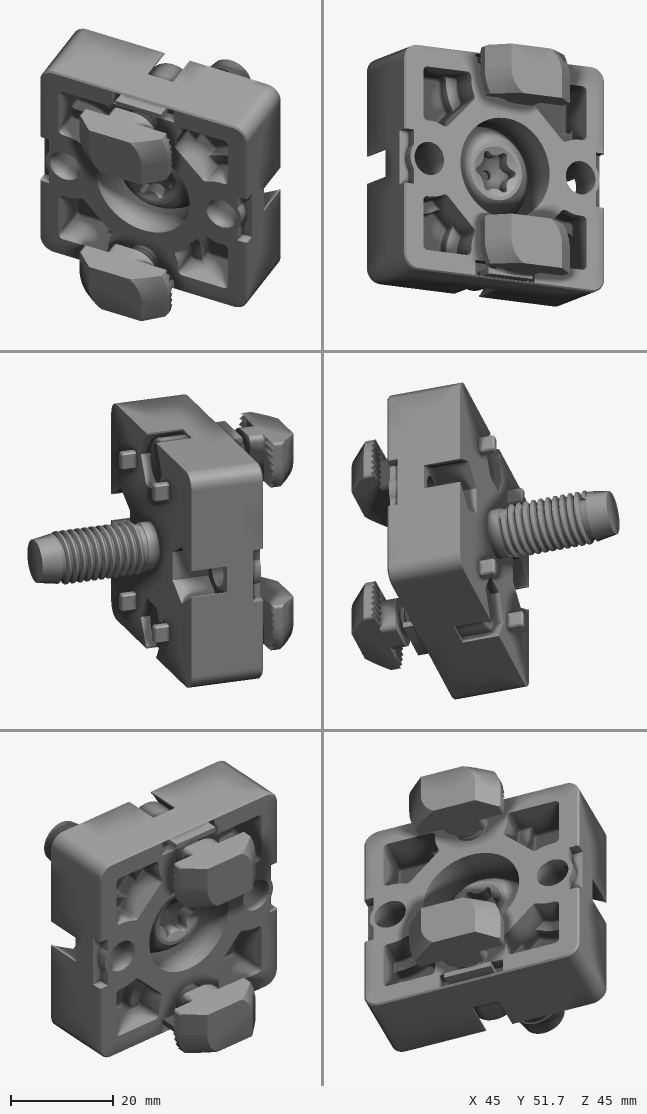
import cadquery as cq
import math


SIDE = 45.0
HALF_SIDE = SIDE / 2
DEPTH = 15.0
CORNER_RADIUS = 3.0
FRONT_CHAMFER = 0.3
HOLE_OFFSET = 17.0
HOLE_RADIUS = 3.3

HEX_ACROSS_FLATS = 10.25
HEX_CORNER_RADIUS = HEX_ACROSS_FLATS / math.sqrt(3)
SLOT_WIDTH = 5.55
HEAD_SEAT = 7.55

NOTCH_WIDTH = 10.85
NOTCH_INSET = 2.0
NOTCH_DEPTH = 2.15
COLLAR_RADIUS = 4.25

TONGUE_WIDTH = 9.8
TONGUE_LOW = 20.9
TONGUE_HIGH = 22.0
TONGUE_LENGTH = 2.15
RECESS_WIDTH = 13.3
RECESS_LOW = 19.15
RECESS_HIGH = 22.15
RECESS_DEPTH = 2.15

POCKET_OUTER = 18.35
POCKET_RING = 7.6
LEDGE_RING = 10.0
HUB_FLAT = 14.05
LEDGE_DEPTH = 5.7
WELL_DEPTH = 8.25
POCKET_CORNER_RADIUS = 0.95
LEDGE_FLOOR_RADIUS = 0.4
WELL_FLOOR_RADIUS = 0.55

STUB_INNER = 8.4
STUB_OUTER = 10.1
STUB_LOW = 13.05
STUB_HIGH = 16.55
STUB_LENGTH = 3.05
STUB_CHAMFER = 0.3

HEAD_RADIUS = 9.8
HEAD_POCKET_RADIUS = 10.05
HEAD_FLAT_RADIUS = 5.75
HEAD_FRONT = 3.35
HEAD_SHOULDER = 8.25
HEAD_BACK = 9.05
DOME_BULGE = 0.4
SHANK_RADIUS = 4.8
THREAD_START = 17.25
THREAD_END = 35.2
BOLT_TIP = 39.2
TIP_LARGE_RADIUS = 4.95
TIP_SMALL_RADIUS = 4.3
BOLT_ROOT_RADIUS = 4.55
BOLT_CREST_RADIUS = 5.25
BOLT_PITCH = 1.5
RIDGE_FOOT_WIDTH = 1.35
RIDGE_CREST_WIDTH = 0.3
RIDGE_SINK = 0.1
SOCKET_RIM_RADIUS = 5.0
SOCKET_RIM_DEPTH = 2.05
LOBE_TIP_RADIUS = 4.45
LOBE_SIDE_RADIUS = 4.15
LOBE_VALLEY_RADIUS = 3.3
LOBE_HALF_ANGLE = 9
LOBE_COUNT = 6
SOCKET_DEPTH = 3.1
SOCKET_CONE_DEPTH = 1.3
PILOT_RADIUS = 1.05
PILOT_DEPTH = 5.15

SCREW_HEAD_RADIUS = 4.95
SCREW_HEAD_HEIGHT = 6.0
SCREW_HEAD_FILLET = 0.7
SCREW_CREST_RADIUS = 3.05
SCREW_ROOT_RADIUS = 2.55
SCREW_PITCH = 1.0
SCREW_CREST_WIDTH = 0.2
SCREW_THREAD_COUNT = 5

NUT_FRONT = -12.5
NUT_BACK = -3.7
NECK_LENGTH = 2.95
WING_EDGE = 2.1
NUT_HALF_LENGTH = 9.55
NUT_HALF_HEIGHT = 4.8
NUT_FACE_HALF = 5.7
NECK_CORNER_RADIUS = 1.1
WING_CORNER_RADIUS = 0.6
TOOTH_PITCH = 1.4
TOOTH_DEPTH = 0.65
TOOTH_COUNT = 7

QUARTER_TURNS = (0, 90, 180, 270)
HALF_TURNS = (0, 180)


def box(x_range, y_range, z_range):
    """Axis-aligned block given by its limits."""
    limits = (x_range, y_range, z_range)
    sizes = [high - low for low, high in limits]
    centre = tuple((high + low) / 2 for low, high in limits)
    return cq.Workplane("XY").box(*sizes).translate(centre)


def plate(x, z, y):
    """Workplane at (x, y, z) that extrudes towards +Y for negative distances."""
    return cq.Workplane("XZ", origin=(x, y, z))


def disc(x, z, radius, y_low, y_high):
    """Cylinder along Y."""
    return plate(x, z, y_low).circle(radius).extrude(y_low - y_high)


def turned(points):
    """Solid of revolution about the Y axis from (radius, y) points."""
    return cq.Workplane("XY").polyline(points).close().revolve(360, (0, 0, 0), (0, 1, 0))


def turn_about_y(shape, angle):
    return shape.rotate((0, 0, 0), (0, 1, 0), angle)


def mirrored_corners(shape):
    """The shape in the +X +Z quadrant and its three mirror images."""
    left = shape.mirror("YZ")
    return [shape, left, shape.mirror("XY"), left.mirror("XY")]



def fixing_bore():
    """Hole, hexagonal recess and side slot of the fixing hole on the +Z side."""
    bore = disc(0, HOLE_OFFSET, HOLE_RADIUS, -DEPTH, DEPTH)
    recess = plate(0, HOLE_OFFSET, HEAD_SEAT).polygon(6, 2 * HEX_CORNER_RADIUS).extrude(HEAD_SEAT - DEPTH)
    half_slot = SLOT_WIDTH / 2
    slot = box((-half_slot, half_slot), (HEAD_SEAT, DEPTH), (HOLE_OFFSET, SIDE))
    return bore.union(recess).union(slot)


def pocket_block(ring_radius, depth):
    """Pocket in the +X +Z corner that keeps clear of both fixing holes by ring_radius."""
    block = box((0, POCKET_OUTER), (0, depth), (0, POCKET_OUTER))
    hub = box((-SIDE, SIDE), (0, depth), (-SIDE, HUB_FLAT))
    block = block.cut(turn_about_y(hub, 45))
    for x, z in ((HOLE_OFFSET, 0), (0, HOLE_OFFSET)):
        block = block.cut(disc(x, z, ring_radius, 0, depth))
    return block.edges("|Y").fillet(POCKET_CORNER_RADIUS)


def corner_pocket():
    """Pocket with a ledge around each fixing hole and a deeper well between them."""
    ledge = pocket_block(POCKET_RING, LEDGE_DEPTH)
    well = pocket_block(LEDGE_RING, WELL_DEPTH)
    ledge = ledge.faces(">Y").edges().fillet(LEDGE_FLOOR_RADIUS)
    well = well.faces(">Y").edges().fillet(WELL_FLOOR_RADIUS)
    return ledge.union(well)


def side_notch():
    """Notch at the -X front edge that leaves a collar around the fixing hole."""
    half = NOTCH_WIDTH / 2
    notch = box((-SIDE, NOTCH_INSET - HALF_SIDE), (-NOTCH_DEPTH, NOTCH_DEPTH), (-half, half))
    return notch.cut(disc(-HOLE_OFFSET, 0, COLLAR_RADIUS, -NOTCH_DEPTH, NOTCH_DEPTH))


def tongue_recess():
    """Recess behind the +Z front edge in which the tongue stands."""
    half = RECESS_WIDTH / 2
    return box((-half, half), (-RECESS_DEPTH, RECESS_DEPTH), (RECESS_LOW, RECESS_HIGH))


def tongue():
    """Flat tongue that rises from the recess floor and stands out of the front."""
    half = TONGUE_WIDTH / 2
    return box((-half, half), (-TONGUE_LENGTH, RECESS_DEPTH), (TONGUE_LOW, TONGUE_HIGH))


def locating_stub():
    """Small block that stands out of the back."""
    stub = box((STUB_INNER, STUB_OUTER), (DEPTH, DEPTH + STUB_LENGTH), (STUB_LOW, STUB_HIGH))
    stub = stub.edges("|Y").chamfer(STUB_CHAMFER)
    return stub.faces(">Y").edges().chamfer(STUB_CHAMFER)


def make_housing():
    body = plate(0, 0, 0).rect(SIDE, SIDE).extrude(-DEPTH)
    body = body.edges("|Y").fillet(CORNER_RADIUS)
    body = body.faces("<Y").edges().chamfer(FRONT_CHAMFER)
    for angle in QUARTER_TURNS:
        body = body.cut(turn_about_y(fixing_bore(), angle))
    for pocket in mirrored_corners(corner_pocket()):
        body = body.cut(pocket)
    for angle in HALF_TURNS:
        body = body.cut(turn_about_y(side_notch(), angle))
        body = body.cut(turn_about_y(tongue_recess(), angle))
        body = body.union(turn_about_y(tongue(), angle))
    for stub in mirrored_corners(locating_stub()):
        body = body.union(stub)
    body = body.cut(disc(0, 0, HEAD_POCKET_RADIUS, 0, HEAD_BACK))
    return body.cut(disc(0, 0, SHANK_RADIUS, HEAD_BACK, DEPTH))



def polar(radius, degrees):
    angle = math.radians(degrees)
    return (radius * math.cos(angle), radius * math.sin(angle))


def six_lobe_socket():
    """Countersunk rim, six-lobe drive with a conical floor, and pilot hole."""
    step = 360 / LOBE_COUNT
    outline = plate(0, 0, HEAD_FRONT).moveTo(*polar(LOBE_SIDE_RADIUS, -LOBE_HALF_ANGLE))
    for lobe in range(LOBE_COUNT):
        angle = step * lobe
        lobe_end = polar(LOBE_SIDE_RADIUS, angle + LOBE_HALF_ANGLE)
        next_start = polar(LOBE_SIDE_RADIUS, angle + step - LOBE_HALF_ANGLE)
        outline = outline.threePointArc(polar(LOBE_TIP_RADIUS, angle), lobe_end)
        outline = outline.threePointArc(polar(LOBE_VALLEY_RADIUS, angle + step / 2), next_start)
    floor = HEAD_FRONT + SOCKET_DEPTH
    drive = outline.close().extrude(-SOCKET_DEPTH - SOCKET_CONE_DEPTH)
    drive = drive.intersect(turned([
        (0, HEAD_FRONT),
        (LOBE_TIP_RADIUS, HEAD_FRONT),
        (LOBE_TIP_RADIUS, floor),
        (0, floor + SOCKET_CONE_DEPTH),
    ]))
    rim = turned([(0, HEAD_FRONT), (SOCKET_RIM_RADIUS, HEAD_FRONT), (0, HEAD_FRONT + SOCKET_RIM_DEPTH)])
    pilot = disc(0, 0, PILOT_RADIUS, HEAD_FRONT, HEAD_FRONT + PILOT_DEPTH)
    return drive.union(rim).union(pilot)


def bolt_blank():
    """Domed head, shank, thread core and tapered tip."""
    dome_middle = (
        (HEAD_FLAT_RADIUS + HEAD_RADIUS) / 2 + DOME_BULGE / math.sqrt(2),
        (HEAD_FRONT + HEAD_SHOULDER) / 2 - DOME_BULGE / math.sqrt(2),
    )
    return (
        cq.Workplane("XY")
        .moveTo(0, HEAD_FRONT)
        .lineTo(HEAD_FLAT_RADIUS, HEAD_FRONT)
        .threePointArc(dome_middle, (HEAD_RADIUS, HEAD_SHOULDER))
        .lineTo(HEAD_RADIUS, HEAD_BACK)
        .lineTo(SHANK_RADIUS, HEAD_BACK)
        .lineTo(SHANK_RADIUS, THREAD_START)
        .lineTo(BOLT_ROOT_RADIUS, THREAD_START)
        .lineTo(BOLT_ROOT_RADIUS, THREAD_END)
        .lineTo(TIP_LARGE_RADIUS, THREAD_END)
        .lineTo(TIP_SMALL_RADIUS, BOLT_TIP)
        .lineTo(0, BOLT_TIP)
        .close()
        .revolve(360, (0, 0, 0), (0, 1, 0))
    )


def bolt_thread():
    """Helical ridge whose foot is sunk slightly into the thread core."""
    foot_radius = BOLT_ROOT_RADIUS - RIDGE_SINK
    half_foot = RIDGE_FOOT_WIDTH / 2
    half_crest = RIDGE_CREST_WIDTH / 2
    length = THREAD_END - THREAD_START - BOLT_PITCH
    path = cq.Workplane(cq.Wire.makeHelix(BOLT_PITCH, length, foot_radius))
    ridge = (
        cq.Workplane("XZ")
        .moveTo(foot_radius, -half_foot)
        .lineTo(BOLT_CREST_RADIUS, -half_crest)
        .lineTo(BOLT_CREST_RADIUS, half_crest)
        .lineTo(foot_radius, half_foot)
        .close()
        .sweep(path, isFrenet=True)
    )
    ridge = ridge.rotate((0, 0, 0), (1, 0, 0), -90)
    return ridge.translate((0, THREAD_START + BOLT_PITCH / 2, 0))


def make_bolt():
    return bolt_blank().cut(six_lobe_socket()).union(bolt_thread())



def make_screw():
    """Cylinder-head screw on the Y axis with ring-shaped threads in front of the housing."""
    head_top = HEAD_SEAT + SCREW_HEAD_HEIGHT
    screw = disc(0, 0, SCREW_HEAD_RADIUS, HEAD_SEAT, head_top)
    screw = screw.faces(">Y").edges().fillet(SCREW_HEAD_FILLET)
    points = [(0, HEAD_SEAT), (0, NUT_FRONT), (SCREW_ROOT_RADIUS, NUT_FRONT), (SCREW_ROOT_RADIUS, NUT_BACK)]
    for ring in range(SCREW_THREAD_COUNT):
        crest = NUT_BACK + SCREW_PITCH * (ring + 0.5)
        points.append((SCREW_CREST_RADIUS, crest - SCREW_CREST_WIDTH / 2))
        points.append((SCREW_CREST_RADIUS, crest + SCREW_CREST_WIDTH / 2))
        points.append((SCREW_ROOT_RADIUS, crest + SCREW_PITCH / 2))
    thread_end = NUT_BACK + SCREW_PITCH * SCREW_THREAD_COUNT
    points.append((SCREW_CREST_RADIUS, thread_end))
    points.append((SCREW_CREST_RADIUS, HEAD_SEAT))
    return screw.union(turned(points))



def nut_blanks():
    """Neck, wings and tapered ends of the nut, once as a straight bar and once turned round."""
    wing_back = NUT_BACK - NECK_LENGTH
    wing_front = wing_back - WING_EDGE
    half = [
        (NUT_HALF_HEIGHT, NUT_BACK),
        (NUT_HALF_HEIGHT, wing_back),
        (NUT_HALF_LENGTH, wing_back),
        (NUT_HALF_LENGTH, wing_front),
        (NUT_FACE_HALF, NUT_FRONT),
    ]
    other_half = [(-x, y) for x, y in reversed(half)]
    bar = cq.Workplane("XY").polyline(half + other_half).close().extrude(NUT_HALF_HEIGHT, both=True)
    return bar, turned(half + [(0, NUT_FRONT), (0, NUT_BACK)])


def tooth_grooves():
    """V-grooves along X across the back of both wings."""
    wing_back = NUT_BACK - NECK_LENGTH
    grooves = cq.Workplane("XY")
    for index in range(TOOTH_COUNT):
        z = TOOTH_PITCH * (index - (TOOTH_COUNT - 1) / 2)
        groove = (
            cq.Workplane("YZ")
            .moveTo(wing_back, z - TOOTH_PITCH / 2)
            .lineTo(wing_back - TOOTH_DEPTH, z)
            .lineTo(wing_back, z + TOOTH_PITCH / 2)
            .close()
            .extrude(SIDE, both=True)
        )
        grooves = grooves.add(groove)
    neck_core = box((-NUT_HALF_HEIGHT, NUT_HALF_HEIGHT), (-SIDE, SIDE), (-SIDE, SIDE))
    return grooves.combine().cut(neck_core)


def make_nut():
    """Nut on the Y axis: two opposite quadrants are turned round, the other two stay square."""
    square, turned_nut = nut_blanks()
    neck = box((-SIDE, SIDE), (NUT_BACK - NECK_LENGTH, NUT_BACK), (-SIDE, SIDE))
    neck_part = square.intersect(neck).edges("|Y").fillet(NECK_CORNER_RADIUS)
    wing_part = square.cut(neck).edges("|Y").fillet(WING_CORNER_RADIUS)
    layer = box((-SIDE, SIDE), (NUT_FRONT, NUT_BACK), (-NUT_HALF_HEIGHT, NUT_HALF_HEIGHT))
    quadrants = box((0, SIDE), (-SIDE, SIDE), (0, SIDE)).union(box((-SIDE, 0), (-SIDE, SIDE), (-SIDE, 0)))
    nut = neck_part.union(wing_part).cut(quadrants)
    nut = nut.union(turned_nut.intersect(layer).intersect(quadrants))
    nut = nut.cut(tooth_grooves())
    return nut.cut(disc(0, 0, SCREW_ROOT_RADIUS, NUT_FRONT, NUT_BACK))


housing = make_housing()
bolt = make_bolt()
clamp_heights = (HOLE_OFFSET, -HOLE_OFFSET)
screws = [make_screw().translate((0, 0, z)) for z in clamp_heights]
nuts = [make_nut().translate((0, 0, z)) for z in clamp_heights]

result = cq.Compound.makeCompound([
    housing.solids().val(),
    bolt.solids().val(),
    *[screw.solids().val() for screw in screws],
    *[nut.solids().val() for nut in nuts],
])